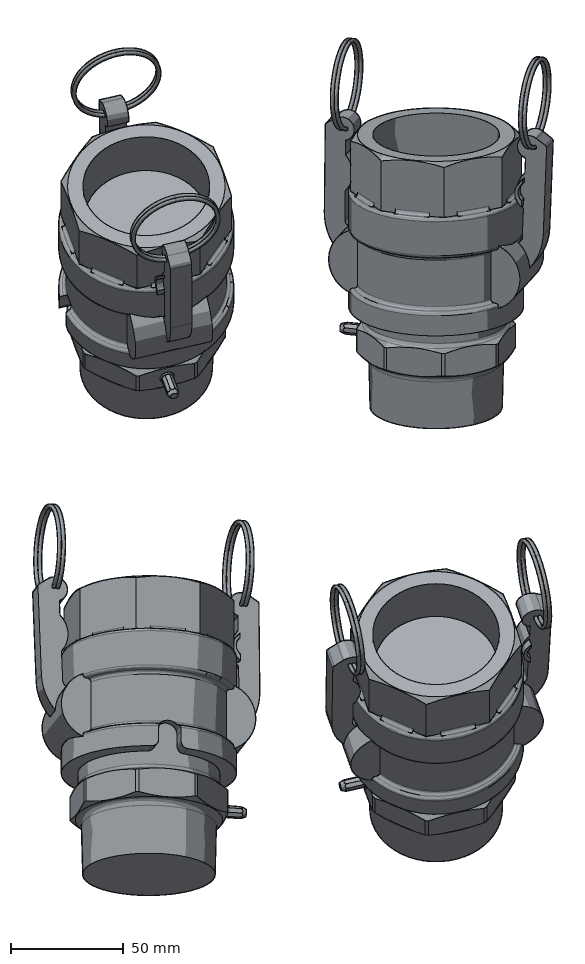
import cadquery as cq
import math

TOTAL_HEIGHT = 128.1
FLANGE_R = 77.79 / 2
NECK_R = 63.06 / 2
COLLAR_BOTTOM, COLLAR_TOP = 83.4, 102.6
LIP_BOTTOM, LIP_TOP = 47.2, 58.3
FLANGE_ROUND = 1.59
BARREL_R = FLANGE_R - 2 * FLANGE_ROUND

SOCKET_OCTAGON_FLATS = 70.4
SOCKET_CHAMFER_R = 69.85 / 2
SOCKET_TOP_R, SOCKET_FLOOR_R = 28.1, 27.4
SOCKET_DEPTH = 23.0
ROOT_STRIP_LENGTH = 16.0
CHAMFER_ANGLE = 30.0
OCTAGON_SIDES = 8

NUT_FLATS = 65.9
NUT_CORNER_R = 35.35
NUT_CORNER_BOTTOM, NUT_CORNER_TOP = 27.0, 37.5
NUT_ROOT_ROUND = 2.3
TAPER_TOP, TAPER_TOP_R, TAPER_END_R = 22.3, 30.0, 29.45
RUNOUT_WIDTH, RUNOUT_ROUND = 2.7, 3.0

NOTCH_WIDTH = 10.3
NOTCH_TOP = 60.5
NOTCH_MOUTH_ROUND = 3.0
CUT_MARGIN = 1.0

PIN_FLATS = 5.0
PIN_Z = 32.3
PIN_END_X = 44.2
PIN_NOSE_LENGTH, PIN_TIP_R = 3.4, 1.8
PIN_ROOT = 0.6

CAM_R = 15.875
CAM_REACH = 44.45
CAM_X, CAM_Z = CAM_REACH - CAM_R, 70.7
CAM_LENGTH = 35.6
LEVER_INNER, LEVER_OUTER = 11.93, 21.56
LEVER_FACE_NEAR, LEVER_FACE_FAR = -3.3, 6.6
LUG_U, LUG_W, LUG_R = 13.63, 57.8, 5.6
LUG_TANGENT_ANGLE = 56.0
LEVER_SHOULDER_W = 59.4
LEVER_SHOULDER_ROUND = 1.4
BUMP_START_W, BUMP_END_W, BUMP_PEAK_U = 45.6, 28.7, 8.63
TAB_LENGTH = 3.3
TAB_OUTER_START_W, TAB_OUTER_END_W = 43.2, 30.5
TAB_INNER_START_W, TAB_INNER_END_W, TAB_INNER_PEAK_U = 41.2, 33.5, 10.1
HEEL_START_W, HEEL_U = 15.2, 10.08
TOE_START_W, TOE_END_W = 17.5, 1.0
LEFT_LEAN, RIGHT_LEAN = 2.2, -0.6

RING_OUTER_D = 41.27
RING_WIRE_D = 1.8
RING_PITCH = 1.87
RING_TURNS = 2
LEFT_RING = dict(center=(-45.6, -0.73, 147.7), lean=1.8)
RIGHT_RING = dict(center=(41.2, 1.36, 147.91), lean=1.1)


def tangent_arc_radius(across, along):
    """Radius of an arc that leaves a straight line and drifts `across` it over a length `along`."""
    return (across**2 + along**2) / (2 * across)


def octagon(flats, height):
    """Upright eight-sided prism with flats facing X and Y."""
    across_corners = flats / math.cos(math.pi / OCTAGON_SIDES)
    half_step = 180 / OCTAGON_SIDES
    return (
        cq.Workplane("XY")
        .polygon(OCTAGON_SIDES, across_corners)
        .extrude(height)
        .rotate((0, 0, 0), (0, 0, 1), half_step)
    )


def revolve(outline):
    """Turn an outline drawn as (radius, height) about Z."""
    return outline.close().revolve(360, (0, 0, 0), (0, 1, 0))


def start(radius, z):
    return cq.Workplane("XZ").moveTo(radius, z)


def barrel():
    """Neck, lower lip, barrel and collar, with rounded edges and roots."""
    r = FLANGE_ROUND
    middle = BARREL_R + r
    outline = (
        start(0, NUT_CORNER_TOP)
        .lineTo(NECK_R, NUT_CORNER_TOP)
        .lineTo(NECK_R, LIP_BOTTOM)
        .lineTo(FLANGE_R, LIP_BOTTOM)
        .lineTo(FLANGE_R, LIP_TOP - r)
        .radiusArc((middle, LIP_TOP), -r)
        .radiusArc((BARREL_R, LIP_TOP + r), r)
        .lineTo(BARREL_R, COLLAR_BOTTOM - r)
        .radiusArc((middle, COLLAR_BOTTOM), r)
        .radiusArc((FLANGE_R, COLLAR_BOTTOM + r), -r)
        .lineTo(FLANGE_R, COLLAR_TOP - r)
        .radiusArc((middle, COLLAR_TOP), -r)
        .lineTo(0, COLLAR_TOP)
    )
    return revolve(outline)


def cam_seat_rims():
    """Square-edged stretches of the lip and collar above and below the cams."""
    rims = cq.Workplane("XY")
    for bottom in (LIP_TOP - FLANGE_ROUND, COLLAR_BOTTOM):
        disc = cq.Workplane("XY", origin=(0, 0, bottom)).circle(FLANGE_R).extrude(FLANGE_ROUND)
        band = cq.Workplane("XY", origin=(0, 0, bottom)).rect(2 * FLANGE_R, CAM_LENGTH)
        rims = rims.add(disc.intersect(band.extrude(FLANGE_ROUND)))
    return rims.combine()


def socket_octagon():
    """Wrench octagon at the top, its corners cut back by a cone."""
    slope = math.tan(math.radians(CHAMFER_ANGLE))
    blank = octagon(SOCKET_OCTAGON_FLATS, TOTAL_HEIGHT - COLLAR_TOP).translate((0, 0, COLLAR_TOP))
    envelope = (
        start(0, COLLAR_TOP)
        .lineTo(FLANGE_R, COLLAR_TOP)
        .lineTo(FLANGE_R, TOTAL_HEIGHT - (FLANGE_R - SOCKET_CHAMFER_R) * slope)
        .lineTo(SOCKET_CHAMFER_R, TOTAL_HEIGHT)
        .lineTo(0, TOTAL_HEIGHT)
    )
    return blank.intersect(revolve(envelope))


def socket_root_strips():
    """Short concave strips between the middle of each flat and the collar."""
    r = FLANGE_ROUND
    apothem = SOCKET_OCTAGON_FLATS / 2
    strip = (
        cq.Workplane("XZ", origin=(0, ROOT_STRIP_LENGTH / 2, 0))
        .moveTo(apothem - r, COLLAR_TOP)
        .lineTo(apothem + r, COLLAR_TOP)
        .radiusArc((apothem, COLLAR_TOP + r), r)
        .lineTo(apothem - r, COLLAR_TOP + r)
        .close()
        .extrude(ROOT_STRIP_LENGTH)
    )
    strips = strip
    for index in range(1, OCTAGON_SIDES):
        strips = strips.union(strip.rotate((0, 0, 0), (0, 0, 1), index * 360 / OCTAGON_SIDES))
    return strips


def socket_bore():
    floor = TOTAL_HEIGHT - SOCKET_DEPTH
    outline = (
        start(0, floor)
        .lineTo(SOCKET_FLOOR_R, floor)
        .lineTo(SOCKET_TOP_R, TOTAL_HEIGHT)
        .lineTo(0, TOTAL_HEIGHT)
    )
    return revolve(outline)


def nut():
    """Octagonal nut: octagon cut by a turned envelope that includes its root and run-out."""
    slope = math.tan(math.radians(CHAMFER_ANGLE))
    runout_r = TAPER_TOP_R + RUNOUT_WIDTH
    runout_top = NUT_CORNER_BOTTOM - (NUT_CORNER_R - runout_r) * slope
    tangent = NUT_ROOT_ROUND * math.tan(math.radians(90 - CHAMFER_ANGLE) / 2)
    apex_z = NUT_CORNER_TOP + (NUT_CORNER_R - NECK_R) * slope
    root_r = NECK_R + tangent * math.cos(math.radians(CHAMFER_ANGLE))
    root_z = NUT_CORNER_TOP + (NUT_CORNER_R - root_r) * slope
    neck_z = apex_z + tangent
    blank = octagon(NUT_FLATS, neck_z - TAPER_TOP).translate((0, 0, TAPER_TOP))
    envelope = (
        start(0, TAPER_TOP)
        .lineTo(TAPER_TOP_R, TAPER_TOP)
        .radiusArc((runout_r, runout_top), RUNOUT_ROUND)
        .lineTo(NUT_CORNER_R, NUT_CORNER_BOTTOM)
        .lineTo(NUT_CORNER_R, NUT_CORNER_TOP)
        .lineTo(root_r, root_z)
        .radiusArc((NECK_R, neck_z), NUT_ROOT_ROUND)
        .lineTo(0, neck_z)
    )
    return blank.intersect(revolve(envelope))


def male_taper():
    outline = (
        start(0, 0)
        .lineTo(TAPER_END_R, 0)
        .lineTo(TAPER_TOP_R, TAPER_TOP)
        .lineTo(0, TAPER_TOP)
    )
    return revolve(outline)


def key_notch():
    """Round-topped notch through the front of the lip, as deep as the neck, with a flared mouth."""
    half = NOTCH_WIDTH / 2
    mouth = half + NOTCH_MOUTH_ROUND
    mouth_z = LIP_BOTTOM + NOTCH_MOUTH_ROUND
    cutter = (
        start(-mouth, LIP_BOTTOM)
        .radiusArc((-half, mouth_z), -NOTCH_MOUTH_ROUND)
        .lineTo(-half, NOTCH_TOP - half)
        .threePointArc((0, NOTCH_TOP), (half, NOTCH_TOP - half))
        .lineTo(half, mouth_z)
        .radiusArc((mouth, LIP_BOTTOM), -NOTCH_MOUTH_ROUND)
        .close()
        .extrude(FLANGE_R + CUT_MARGIN)
    )
    neck = cq.Workplane("XY").circle(NECK_R).extrude(TOTAL_HEIGHT)
    return cutter.cut(neck)


def nut_pin():
    """Eight-sided pin along +X with a small conical root and a rounded nose."""
    length = PIN_END_X
    corner_r = PIN_FLATS / 2 / math.cos(math.pi / OCTAGON_SIDES)
    nose_round = tangent_arc_radius(corner_r - PIN_TIP_R, PIN_NOSE_LENGTH)
    nose = (
        start(0, 0)
        .lineTo(corner_r, 0)
        .lineTo(corner_r, length - PIN_NOSE_LENGTH)
        .radiusArc((PIN_TIP_R, length), -nose_round)
        .lineTo(0, length)
    )
    nut_face = NUT_FLATS / 2
    root = (
        start(0, 0)
        .lineTo(corner_r + PIN_ROOT, 0)
        .lineTo(corner_r + PIN_ROOT, nut_face)
        .lineTo(corner_r, nut_face + PIN_ROOT)
        .lineTo(0, nut_face + PIN_ROOT)
    )
    pin = octagon(PIN_FLATS, length).intersect(revolve(nose)).union(revolve(root))
    return pin.rotate((0, 0, 0), (0, 1, 0), 90).translate((0, 0, PIN_Z))


def lever_tab():
    """Curled tab beside the lever bump: a crescent between two arcs."""
    outer_peak = (BUMP_PEAK_U, (TAB_OUTER_START_W + TAB_OUTER_END_W) / 2)
    inner_peak = (TAB_INNER_PEAK_U, (TAB_INNER_START_W + TAB_INNER_END_W) / 2)
    return (
        cq.Workplane("XZ", origin=(0, LEVER_FACE_NEAR, 0))
        .moveTo(LEVER_INNER, TAB_OUTER_START_W)
        .threePointArc(outer_peak, (LEVER_INNER, TAB_OUTER_END_W))
        .lineTo(LEVER_INNER, TAB_INNER_END_W)
        .threePointArc(inner_peak, (LEVER_INNER, TAB_INNER_START_W))
        .close()
        .extrude(TAB_LENGTH)
    )


def lever_plate():
    """Lever profile about the cam axis, U pointing away from the body and W up."""
    lug_bottom_w = LUG_W - math.sqrt(LUG_R**2 - (LEVER_INNER - LUG_U) ** 2)
    shoulder_angle = math.radians(LUG_TANGENT_ANGLE)
    lug_top = (LUG_U + LUG_R * math.cos(shoulder_angle), LUG_W + LUG_R * math.sin(shoulder_angle))
    bump_peak = (BUMP_PEAK_U, (BUMP_START_W + BUMP_END_W) / 2)
    heel_w = math.sqrt(CAM_R**2 - HEEL_U**2)
    heel_r = tangent_arc_radius(LEVER_INNER - HEEL_U, HEEL_START_W - heel_w)
    toe_u = math.sqrt(CAM_R**2 - TOE_END_W**2)
    toe_r = tangent_arc_radius(LEVER_OUTER - toe_u, TOE_START_W - TOE_END_W)
    plate = (
        cq.Workplane("XZ", origin=(0, LEVER_FACE_FAR, 0))
        .moveTo(0, 0)
        .lineTo(toe_u, TOE_END_W)
        .radiusArc((LEVER_OUTER, TOE_START_W), -toe_r)
        .lineTo(LEVER_OUTER, LEVER_SHOULDER_W)
        .lineTo(*lug_top)
        .threePointArc((LUG_U - LUG_R, LUG_W), (LEVER_INNER, lug_bottom_w))
        .lineTo(LEVER_INNER, BUMP_START_W)
        .threePointArc(bump_peak, (LEVER_INNER, BUMP_END_W))
        .lineTo(LEVER_INNER, HEEL_START_W)
        .radiusArc((HEEL_U, heel_w), heel_r)
        .close()
        .extrude(LEVER_FACE_FAR - LEVER_FACE_NEAR)
    )
    shoulder = cq.selectors.NearestToPointSelector((LEVER_OUTER, 0, LEVER_SHOULDER_W))
    return plate.edges(shoulder).fillet(LEVER_SHOULDER_ROUND)


def cam_lever(lean):
    """Right-hand cam with its lever leaning away from the body by `lean` degrees."""
    cam = cq.Workplane("XZ").circle(CAM_R).extrude(CAM_LENGTH / 2, both=True)
    cam = cam.rotate((0, 0, 0), (0, 1, 0), 180)
    arm = lever_plate().union(lever_tab()).rotate((0, 0, 0), (0, 1, 0), lean)
    return cam.union(arm).translate((CAM_X, 0, CAM_Z))


def half_turn(index):
    """One half turn of the wire, wound about Z and centred on the coil's mid-height."""
    coil_r = (RING_OUTER_D - RING_WIRE_D) / 2
    rise = RING_PITCH / 2
    path = cq.Wire.makeHelix(RING_PITCH, rise, coil_r)
    wire = (
        cq.Workplane("XZ", origin=(coil_r, 0, 0))
        .circle(RING_WIRE_D / 2)
        .sweep(cq.Workplane(obj=path), isFrenet=True)
    )
    return wire.rotate((0, 0, 0), (0, 0, 1), 180 * index).translate((0, 0, rise * (index - RING_TURNS)))


def split_ring(center, lean):
    """Two-turn wire ring whose axis is X, starting at the bottom inside the lever lug."""
    ring = half_turn(0)
    for index in range(1, 2 * RING_TURNS):
        ring = ring.union(half_turn(index), clean=False)
    return ring.rotate((0, 0, 0), (0, 1, 0), 90 - lean).translate(center)


body = barrel()
for feature in (cam_seat_rims, socket_octagon, socket_root_strips, nut, male_taper, nut_pin):
    body = body.union(feature())
body = body.cut(socket_bore()).cut(key_notch())
right_lever = cam_lever(RIGHT_LEAN).union(split_ring(**RIGHT_RING))
left_lever = cam_lever(LEFT_LEAN).rotate((0, 0, 0), (0, 0, 1), 180).union(split_ring(**LEFT_RING))
result = body.union(right_lever).union(left_lever)